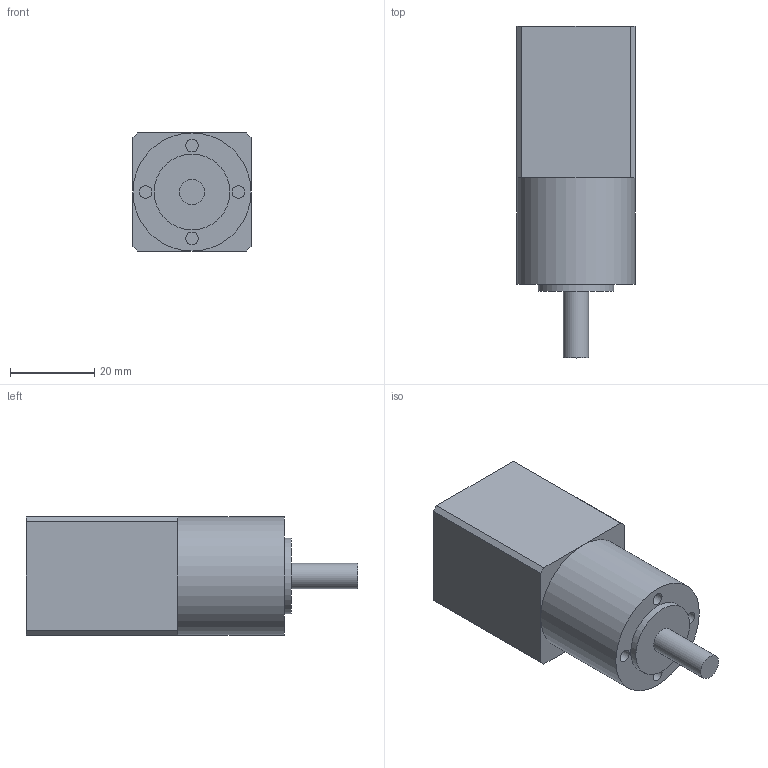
import cadquery as cq

housing_width = 28.0
housing_length = 36.0
housing_chamfer = 1.1

gearbox_diameter = housing_width
gearbox_length = 25.2

boss_diameter = 18.0
boss_height = 1.7

shaft_diameter = 6.0
shaft_length = 15.8

hole_count = 4
hole_diameter = 3.0
hole_circle_radius = 11.0
hole_depth = 6.0

gearbox_face_y = 0.0
housing_front_y = gearbox_face_y + gearbox_length
boss_face_y = gearbox_face_y - boss_height


def section_plane(y):
    """Plane across the motor axis at y, with its normal along +Y."""
    return cq.Plane(origin=(0, y, 0), xDir=(1, 0, 0), normal=(0, 1, 0))


def axial_cylinder(diameter, start_y, length):
    """Cylinder on the motor axis; a negative length extends toward -Y."""
    return cq.Workplane(section_plane(start_y)).circle(diameter / 2).extrude(length)


def make_housing():
    """Square housing with its four long edges chamfered."""
    block = cq.Workplane(section_plane(housing_front_y)).rect(housing_width, housing_width)
    return block.extrude(housing_length).edges("|Y").chamfer(housing_chamfer)


def make_mounting_holes():
    """Blind-hole cutters evenly spaced around the gearbox face."""
    return (
        cq.Workplane(section_plane(gearbox_face_y))
        .polarArray(hole_circle_radius, 0, 360, hole_count)
        .circle(hole_diameter / 2)
        .extrude(hole_depth)
    )


housing = make_housing()
gearbox = axial_cylinder(gearbox_diameter, gearbox_face_y, gearbox_length)
boss = axial_cylinder(boss_diameter, gearbox_face_y, -boss_height)
shaft = axial_cylinder(shaft_diameter, boss_face_y, -shaft_length)

result = housing.union(gearbox).union(boss).union(shaft).cut(make_mounting_holes())